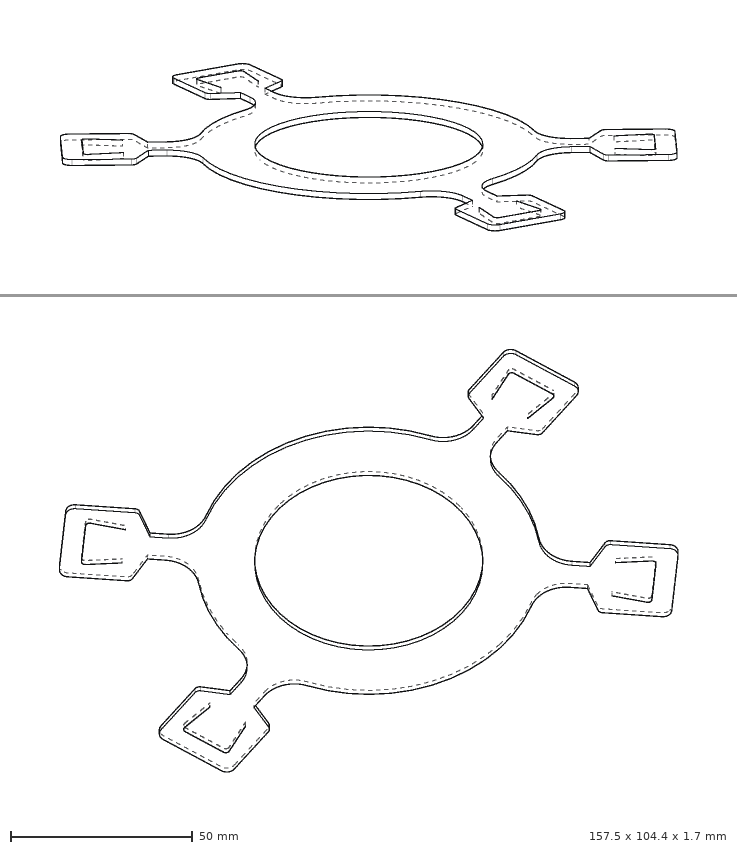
import cadquery as cq
import math

length = 157.5
thickness = 1.7

ring_radius = 47.5
hole_diameter = 63.0

arm_angle = 30.0
arm_width = 8.0
arm_ring_fillet = 10.0

pad_width = 24.7
pad_corner_radius = 2.5
pad_shoulder_radius = 1.5
neck_end = 61.0
shoulder_start = 64.9

slit_width = 0.1
tongue_root = 67.9
tongue_tip = 79.0
tongue_root_width = 12.1
tongue_tip_width = 15.5
tongue_corner_radius = 1.1

angle = math.radians(arm_angle)
corner_center_v = pad_width / 2 - pad_corner_radius
corner_center_x = length / 2 - pad_corner_radius
corner_center_u = (corner_center_x - corner_center_v * math.sin(angle)) / math.cos(angle)
pad_end = corner_center_u + pad_corner_radius


def make_ring_with_arms():
    """Ring disc with two crossing bars, blended where the bars leave the disc."""
    body = cq.Workplane("XY").circle(ring_radius).extrude(thickness)
    for direction in (arm_angle, -arm_angle):
        bar = cq.Workplane("XY").rect(2 * neck_end, arm_width).extrude(thickness)
        body = body.union(bar.rotate((0, 0, 0), (0, 0, 1), direction))

    around_disc = cq.selectors.BoxSelector(
        (-ring_radius, -ring_radius, 0),
        (ring_radius, ring_radius, thickness),
    )
    return body.edges("|Z").edges(around_disc).fillet(arm_ring_fillet)


def make_pad():
    """Pad on the +X axis, tapering through its shoulders to the arm width."""
    half_arm = arm_width / 2
    half_pad = pad_width / 2
    pad = (
        cq.Workplane("XY")
        .polyline([
            (neck_end, -half_arm),
            (shoulder_start, -half_pad),
            (pad_end, -half_pad),
            (pad_end, half_pad),
            (shoulder_start, half_pad),
            (neck_end, half_arm),
        ])
        .close()
        .extrude(thickness)
    )
    pad = pad.edges("|Z and >X").fillet(pad_corner_radius)
    return pad.edges("|Z and (>Y or <Y)").edges("<X").fillet(pad_shoulder_radius)


def make_tongue(inset):
    """Flared tongue on the +X axis, with its tip and sides moved inward by inset."""
    half_root = tongue_root_width / 2 - inset
    half_tip = tongue_tip_width / 2 - inset
    tip = tongue_tip - inset
    return (
        cq.Workplane("XY")
        .polyline([
            (tongue_root, -half_root),
            (tip, -half_tip),
            (tip, half_tip),
            (tongue_root, half_root),
        ])
        .close()
        .extrude(thickness)
        .edges("|Z and >X")
        .fillet(tongue_corner_radius - inset)
    )


slit = make_tongue(0).cut(make_tongue(slit_width))
slotted_pad = make_pad().cut(slit)

result = make_ring_with_arms()
for direction in (arm_angle, 180 - arm_angle, 180 + arm_angle, -arm_angle):
    result = result.union(slotted_pad.rotate((0, 0, 0), (0, 0, 1), direction))

center_hole = cq.Workplane("XY").circle(hole_diameter / 2).extrude(thickness)
result = result.cut(center_hole)